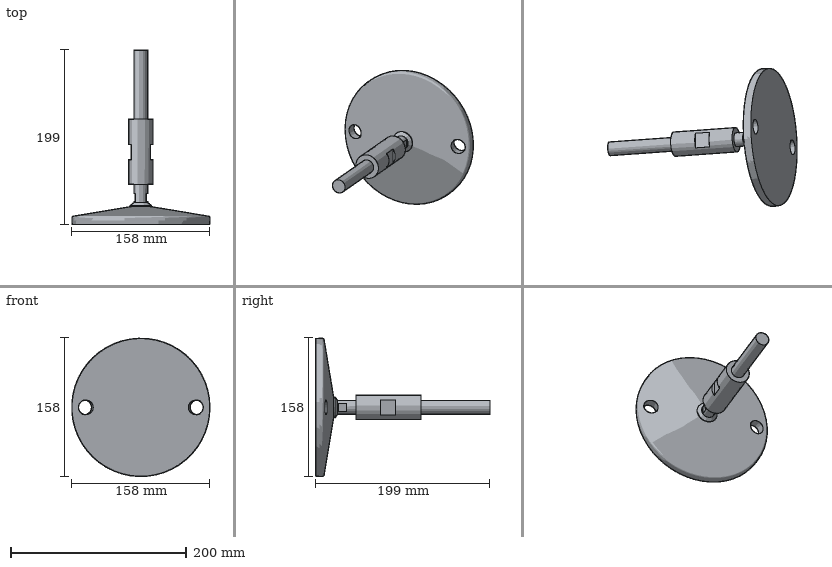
import cadquery as cq
import math

plate_radius = 158.0 / 2
sole_radius = 78.6
rim_taper_height = 4.4
rim_height = 7.4
rim_fillet = 2.4
seat_radius = 12.1
seat_height = 20.5
mount_hole_diameter = 16.5
mount_hole_offset = 62.7

total_length = 199.0
rod_diameter = 16.0
rod_radius = rod_diameter / 2
collar_foot_radius = 10.7
collar_radius = 12.1
collar_height = 21.9
collar_top = 25.0
rod_flat_start = 26.0
rod_flat_length = 9.2
rod_across_flats = 13.0

sleeve_diameter = 28.0
sleeve_radius = sleeve_diameter / 2
sleeve_start = 45.8
sleeve_length = 74.6
sleeve_end = sleeve_start + sleeve_length
sleeve_flat_start = 74.0
sleeve_flat_length = 17.1
sleeve_across_flats = 22.3

fillet_center_radius = plate_radius - rim_fillet
center_run = fillet_center_radius - seat_radius
center_drop = seat_height - rim_height
center_distance = math.hypot(center_run, center_drop)
cone_slope = math.atan2(center_drop, center_run) - math.asin(rim_fillet / center_distance)


def rounding_point(angle):
    """Point on the rim rounding at an angle measured from the radial direction."""
    return (
        fillet_center_radius + rim_fillet * math.cos(angle),
        rim_height + rim_fillet * math.sin(angle),
    )


def revolve_about_y(profile):
    return profile.close().revolve(360, (0, 0, 0), (0, 1, 0))


def make_mount_hole(side):
    """Drill for a hole square to the cone flank, on the +X or -X side."""
    direction = cq.Vector(side * math.sin(cone_slope), math.cos(cone_slope), 0)
    sole_point = cq.Vector(side * mount_hole_offset, 0, 0)
    start = sole_point - direction * seat_height
    return cq.Solid.makeCylinder(mount_hole_diameter / 2, 3 * seat_height, start, direction)


def make_foot():
    tangent_angle = math.pi / 2 - cone_slope
    profile = (
        cq.Workplane("XY")
        .lineTo(sole_radius, 0)
        .lineTo(plate_radius, rim_taper_height)
        .lineTo(plate_radius, rim_height)
        .threePointArc(rounding_point(tangent_angle / 2), rounding_point(tangent_angle))
        .lineTo(seat_radius, seat_height)
        .lineTo(0, seat_height)
    )
    foot = revolve_about_y(profile)
    for side in (-1, 1):
        foot = foot.cut(cq.Workplane(make_mount_hole(side)))
    return foot


def cut_flats(body, diameter, across_flats, start, length):
    """Mill two wrench flats facing +X and -X into a round section."""
    for side in (-1, 1):
        cutter_center = side * (across_flats + diameter) / 2
        cutter = cq.Workplane("XY").box(diameter, length, diameter)
        body = body.cut(cutter.translate((cutter_center, start + length / 2, 0)))
    return body


def make_spindle():
    profile = (
        cq.Workplane("XY")
        .moveTo(0, seat_height)
        .lineTo(collar_foot_radius, seat_height)
        .lineTo(collar_radius, collar_height)
        .lineTo(rod_radius, collar_top)
        .lineTo(rod_radius, sleeve_start)
        .lineTo(sleeve_radius, sleeve_start)
        .lineTo(sleeve_radius, sleeve_end)
        .lineTo(rod_radius, sleeve_end)
        .lineTo(rod_radius, total_length)
        .lineTo(0, total_length)
    )
    spindle = revolve_about_y(profile)
    spindle = cut_flats(spindle, rod_diameter, rod_across_flats, rod_flat_start, rod_flat_length)
    return cut_flats(
        spindle, sleeve_diameter, sleeve_across_flats, sleeve_flat_start, sleeve_flat_length
    )


foot = make_foot()
spindle = make_spindle()

result = cq.Compound.makeCompound([foot.val(), spindle.val()])